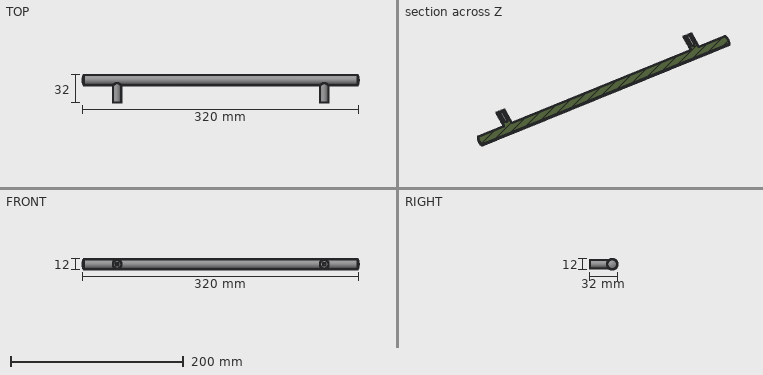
import cadquery as cq
import math

BAR_LENGTH = 320.0
BAR_DIAMETER = 12.0
DOME_RADIUS = BAR_DIAMETER

POST_DIAMETER = 10.0
POST_SPACING = 240.0
OVERALL_DEPTH = 32.0

HOLE_DIAMETER = 3.3
HOLE_DEPTH = 15.0
DRILL_TIP_ANGLE = 118.0

BAR_RADIUS = BAR_DIAMETER / 2
DOME_HEIGHT = DOME_RADIUS - math.sqrt(DOME_RADIUS**2 - BAR_RADIUS**2)
POST_END_Y = BAR_RADIUS - OVERALL_DEPTH


def make_bar():
    """Revolve the half profile, with an arc at each end, about the X axis."""
    tip_x = BAR_LENGTH / 2
    shoulder_x = tip_x - DOME_HEIGHT
    profile = (
        cq.Workplane("XY")
        .moveTo(-tip_x, 0)
        .radiusArc((-shoulder_x, BAR_RADIUS), DOME_RADIUS)
        .lineTo(shoulder_x, BAR_RADIUS)
        .radiusArc((tip_x, 0), DOME_RADIUS)
        .close()
    )
    return profile.revolve(360, (0, 0, 0), (1, 0, 0))


def make_post(post_x):
    """Cylinder from the bar axis to the free end of the post."""
    return (
        cq.Workplane("XZ", origin=(post_x, 0, 0))
        .circle(POST_DIAMETER / 2)
        .extrude(-POST_END_Y)
    )


def make_screw_hole(post_x):
    """Round bore with a conical tip, entering at the free end of the post."""
    hole_radius = HOLE_DIAMETER / 2
    tip_length = hole_radius / math.tan(math.radians(DRILL_TIP_ANGLE / 2))
    profile = (
        cq.Workplane("XY", origin=(post_x, POST_END_Y, 0))
        .lineTo(hole_radius, 0)
        .lineTo(hole_radius, HOLE_DEPTH)
        .lineTo(0, HOLE_DEPTH + tip_length)
        .close()
    )
    return profile.revolve(360, (0, 0, 0), (0, 1, 0))


def make_handle():
    """Join the posts to the bar and drill their screw holes."""
    handle = make_bar()
    for side in (-1, 1):
        post_x = side * POST_SPACING / 2
        handle = handle.union(make_post(post_x))
        handle = handle.cut(make_screw_hole(post_x))
    return handle


result = make_handle()